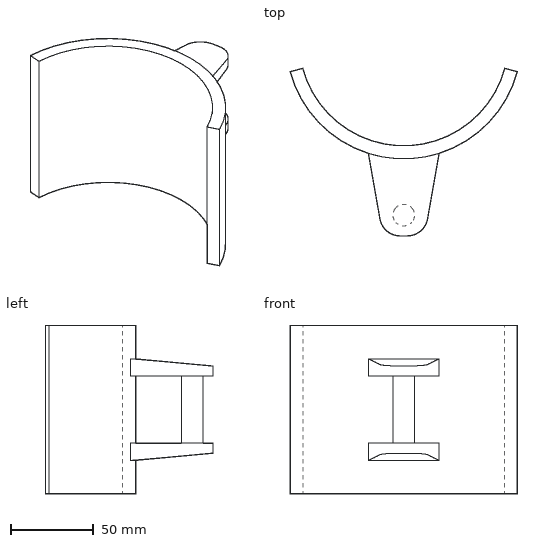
import cadquery as cq
import math

saddle_width = 137.4
saddle_height = 101.7
wall = 8.0
end_angle = math.radians(15)
outer_radius = saddle_width / 2 / math.cos(end_angle)
inner_radius = outer_radius - wall

overall_depth = 101.4
tip_y = -inner_radius * math.sin(end_angle) - overall_depth
root_half_width = 21.5
root_y = -math.sqrt(outer_radius**2 - root_half_width**2)
side_taper = math.tan(math.radians(10))
top_taper = math.tan(math.radians(5.3))
lug_gap = 40.5
root_thickness = 10.5
corner_radius = 12.6

pin_diameter = 13.0
pin_y = tip_y + corner_radius


def saddle_point(radius, side):
    return (side * radius * math.cos(end_angle), -radius * math.sin(end_angle))


def make_saddle():
    return (
        cq.Workplane("XY")
        .workplane(offset=-saddle_height / 2)
        .moveTo(*saddle_point(outer_radius, -1))
        .threePointArc((0, -outer_radius), saddle_point(outer_radius, 1))
        .lineTo(*saddle_point(inner_radius, 1))
        .threePointArc((0, -inner_radius), saddle_point(inner_radius, -1))
        .close()
        .extrude(saddle_height)
    )


def make_upper_lug():
    inner_z = lug_gap / 2
    root_z = inner_z + root_thickness
    tip_half_width = root_half_width - (root_y - tip_y) * side_taper

    plan = (
        cq.Workplane("XY")
        .workplane(offset=inner_z)
        .polyline([
            (-root_half_width, root_y),
            (-tip_half_width, tip_y),
            (tip_half_width, tip_y),
            (root_half_width, root_y),
        ])
        .close()
        .extrude(2 * root_thickness)
        .edges("|Z and <Y")
        .fillet(corner_radius)
    )
    apex_z = root_z + outer_radius * top_taper
    cone_base_radius = (apex_z - inner_z) / top_taper
    cone = (
        cq.Workplane("XZ")
        .polyline([(0, inner_z), (0, apex_z), (cone_base_radius, inner_z)])
        .close()
        .revolve(360, (0, 0, 0), (0, 1, 0))
    )
    return plan.intersect(cone)


def make_pin():
    return (
        cq.Workplane("XY")
        .workplane(offset=-lug_gap / 2)
        .center(0, pin_y)
        .circle(pin_diameter / 2)
        .extrude(lug_gap)
    )


upper_lug = make_upper_lug()
lower_lug = upper_lug.mirror("XY")
result = make_saddle().union(upper_lug).union(lower_lug).union(make_pin())